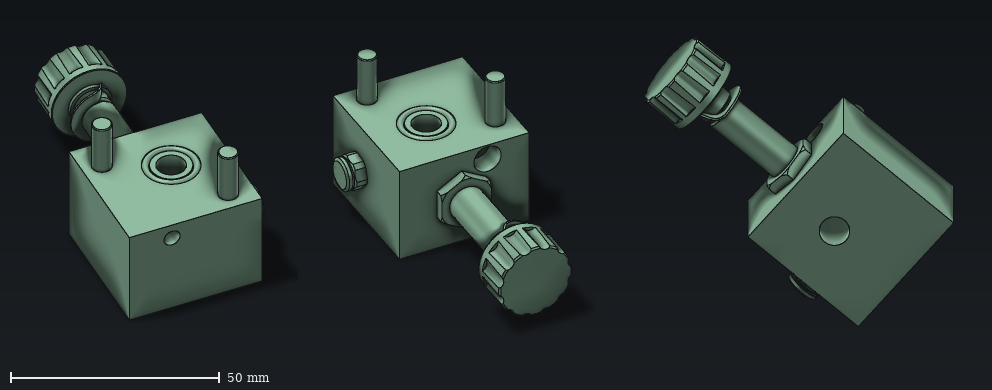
import cadquery as cq
import math

BLOCK_X = 35.0
BLOCK_Y = 35.0
BLOCK_Z = 26.0

PORT_X = 14.7
PORT_Y = 2.75
PORT_DIA = 7.3
GROOVE_OUTER_R = 7.15
GROOVE_INNER_R = 5.2
RING_WIRE_R = 0.88
RING_PROUD = 0.4
RING_CENTRE_R = GROOVE_OUTER_R - RING_WIRE_R
RING_CENTRE_Z = BLOCK_Z + RING_PROUD - RING_WIRE_R
GROOVE_DEPTH = 2 * RING_WIRE_R - RING_PROUD

SCREW_Y = -6.25
SCREW_Z = 21.9
SCREW_DIA = 4.2
SCREW_HEAD_DIA = 7.3
SCREW_HEAD_DEPTH = 6.0

PIN_DIA = 5.0
PIN_LENGTH = 13.2
PIN_CHAMFER = 0.25
PIN_CENTRES = [(8.0, -12.45), (30.0, 10.8)]

VALVE_Y = 0.75
VALVE_Z = BLOCK_Z / 2
HEX_FLATS = 13.3
HEX_LENGTH = 2.7
HEX_CORNER_BREAK = 0.7
STEM_R = 4.6
NECK_R = 3.9
NECK_CENTRE_X = -23.3
NECK_HALF_FLOOR = 0.3
NECK_HALF_MOUTH = 0.8
COLLAR_R = 5.5
COLLAR_LENGTH = 1.0

KNOB_REAR_X = -28.15
KNOB_TIP_X = -39.2
KNOB_R = 10.0
KNOB_CONE_RISE = 0.25
KNOB_FRONT_R = 9.88
KNOB_FRONT_CHAMFER = 0.4
KNOB_REAR_CHAMFER = 0.2
FLUTE_COUNT = 12
FLUTE_R = 1.9
FLUTE_DEPTH = 0.95
FLUTE_LIP_R = 0.6
FLUTE_END_X = -30.3
TAPER_END_X = -29.75

PLATE_THICKNESS = 0.5
PLATE_R = 7.35
PLATE_X = -22.7
PLATE_BEND_START_Y = -2.1
PLATE_BEND_R = 4.2
PLATE_BEND_ANGLE = math.radians(62.5)
PLATE_EDGE_START_X = -23.6
PLATE_EDGE_MIDDLE = (-25.2, 6.95)
PLATE_END_HALF_WIDTH = 5.1

FITTING_X = 21.25
FITTING_Z = BLOCK_Z / 2
FITTING_FLATS = 8.55
FITTING_CORNER_R = 4.55
FITTING_TURN = 10.5
FITTING_HEX_LENGTH = 3.25
FITTING_HEX_CHAMFER = 0.45
FITTING_NECK_R = 3.2
FITTING_RING_START = 3.65
FITTING_LENGTH = 5.2
FITTING_RING_R = 4.28
FITTING_RING_END_R = 3.6
FITTING_RING_TAPER = 0.5
FITTING_RING_CHAMFER = 0.15


def hexagon(across_flats):
    """Corner diameter of a hexagon given across its flats."""
    return across_flats / math.cos(math.pi / 6)


def along_x(x):
    """Plane facing +X at x, centred on the valve axis; local axes are Y and Z."""
    return cq.Workplane("YZ", origin=(x, VALVE_Y, VALVE_Z))


def turn_about_valve_axis(profile):
    """Revolve a closed (x, radius) profile about the valve axis."""
    outline = cq.Workplane("XY", origin=(0, VALVE_Y, VALVE_Z)).polyline(profile).close()
    return outline.revolve(360, (0, 0, 0), (1, 0, 0))


def make_block():
    block = cq.Workplane("XY").box(BLOCK_X, BLOCK_Y, BLOCK_Z, centered=(False, True, False))
    port = cq.Workplane("XY").center(PORT_X, PORT_Y).circle(PORT_DIA / 2).extrude(BLOCK_Z)
    groove = (
        cq.Workplane("XY", origin=(PORT_X, PORT_Y, BLOCK_Z))
        .circle(GROOVE_OUTER_R)
        .circle(GROOVE_INNER_R)
        .extrude(-GROOVE_DEPTH)
    )
    screw_plane = cq.Workplane("YZ", origin=(0, SCREW_Y, SCREW_Z))
    screw_hole = screw_plane.circle(SCREW_DIA / 2).extrude(BLOCK_X)
    screw_head = screw_plane.circle(SCREW_HEAD_DIA / 2).extrude(SCREW_HEAD_DEPTH)
    return block.cut(port).cut(groove).cut(screw_hole).cut(screw_head)


def make_o_ring():
    ring = cq.Solid.makeTorus(RING_CENTRE_R, RING_WIRE_R, cq.Vector(PORT_X, PORT_Y, RING_CENTRE_Z))
    return cq.Workplane(ring)


def make_pin(x, y):
    pin = cq.Workplane("XY", origin=(x, y, BLOCK_Z)).circle(PIN_DIA / 2).extrude(PIN_LENGTH)
    return pin.faces(">Z").chamfer(PIN_CHAMFER)


def make_lock_plate():
    """Round plate, flat across the stem on -Y and bent towards the knob on +Y."""
    def bend_point(radius, angle):
        x = PLATE_X - PLATE_BEND_R + radius * math.cos(angle)
        y = PLATE_BEND_START_Y + radius * math.sin(angle)
        return (x, y)

    def point_at_knob(bend_end):
        run = bend_end[0] - KNOB_REAR_X
        return (KNOB_REAR_X, bend_end[1] + run / math.tan(PLATE_BEND_ANGLE))

    outer_r = PLATE_BEND_R
    inner_r = PLATE_BEND_R - PLATE_THICKNESS
    half_bend = PLATE_BEND_ANGLE / 2
    outer_end = bend_point(outer_r, PLATE_BEND_ANGLE)
    inner_end = bend_point(inner_r, PLATE_BEND_ANGLE)
    strip = (
        cq.Workplane("XY", origin=(0, VALVE_Y, VALVE_Z))
        .moveTo(PLATE_X, -PLATE_R)
        .lineTo(*bend_point(outer_r, 0))
        .threePointArc(bend_point(outer_r, half_bend), outer_end)
        .lineTo(*point_at_knob(outer_end))
        .lineTo(*point_at_knob(inner_end))
        .lineTo(*inner_end)
        .threePointArc(bend_point(inner_r, half_bend), bend_point(inner_r, 0))
        .lineTo(PLATE_X - PLATE_THICKNESS, -PLATE_R)
        .close()
        .extrude(PLATE_R, both=True)
    )
    flat_half = (
        along_x(KNOB_REAR_X)
        .moveTo(0, PLATE_R)
        .threePointArc((-PLATE_R, 0), (0, -PLATE_R))
        .close()
        .extrude(-KNOB_REAR_X)
    )
    edge_x, edge_z = PLATE_EDGE_MIDDLE
    bent_half = (
        cq.Workplane("XZ", origin=(0, VALVE_Y, VALVE_Z))
        .moveTo(0, PLATE_R)
        .lineTo(PLATE_EDGE_START_X, PLATE_R)
        .threePointArc((edge_x, edge_z), (KNOB_REAR_X, PLATE_END_HALF_WIDTH))
        .lineTo(KNOB_REAR_X, -PLATE_END_HALF_WIDTH)
        .threePointArc((edge_x, -edge_z), (PLATE_EDGE_START_X, -PLATE_R))
        .lineTo(0, -PLATE_R)
        .close()
        .extrude(-PLATE_R)
    )
    return strip.intersect(flat_half.union(bent_half))


def make_valve():
    """Hexagon, grooved stem, collar and lock plate in one piece."""
    corner_r = hexagon(HEX_FLATS) / 2
    hexagon_head = along_x(-HEX_LENGTH).transformed(rotate=(0, 0, 90)).polygon(6, 2 * corner_r)
    hexagon_head = hexagon_head.extrude(HEX_LENGTH)
    corner_cone = turn_about_valve_axis([
        (-HEX_LENGTH, 0),
        (-HEX_LENGTH, corner_r - HEX_CORNER_BREAK),
        (-HEX_LENGTH + HEX_CORNER_BREAK, corner_r),
        (0, corner_r),
        (0, 0),
    ])
    stem = turn_about_valve_axis([
        (-HEX_LENGTH, 0),
        (-HEX_LENGTH, STEM_R),
        (NECK_CENTRE_X + NECK_HALF_MOUTH, STEM_R),
        (NECK_CENTRE_X + NECK_HALF_FLOOR, NECK_R),
        (NECK_CENTRE_X - NECK_HALF_FLOOR, NECK_R),
        (NECK_CENTRE_X - NECK_HALF_MOUTH, STEM_R),
        (KNOB_REAR_X + COLLAR_LENGTH, STEM_R),
        (KNOB_REAR_X + COLLAR_LENGTH, COLLAR_R),
        (KNOB_REAR_X, COLLAR_R),
        (KNOB_REAR_X, 0),
    ])
    return hexagon_head.intersect(corner_cone).union(stem).union(make_lock_plate())


def make_knob():
    """Fluted grip with a plain flange at the rear, trimmed by the turned outline."""
    rim_x = KNOB_TIP_X + KNOB_CONE_RISE
    turned_outline = turn_about_valve_axis([
        (KNOB_TIP_X, 0),
        (rim_x, KNOB_FRONT_R - KNOB_FRONT_CHAMFER),
        (rim_x + KNOB_FRONT_CHAMFER, KNOB_FRONT_R),
        (TAPER_END_X, KNOB_R),
        (KNOB_REAR_X - KNOB_REAR_CHAMFER, KNOB_R),
        (KNOB_REAR_X, KNOB_R - KNOB_REAR_CHAMFER),
        (KNOB_REAR_X, 0),
    ])
    grip_length = FLUTE_END_X - KNOB_TIP_X
    flutes = (
        along_x(KNOB_TIP_X)
        .polarArray(KNOB_R - FLUTE_DEPTH + FLUTE_R, 180 / FLUTE_COUNT, 360, FLUTE_COUNT)
        .circle(FLUTE_R)
        .extrude(grip_length)
    )
    grip = along_x(KNOB_TIP_X).circle(KNOB_R).extrude(grip_length).cut(flutes)
    grip = grip.edges("|X").fillet(FLUTE_LIP_R)
    flange = along_x(FLUTE_END_X).circle(KNOB_R).extrude(KNOB_REAR_X - FLUTE_END_X)
    return grip.union(flange).intersect(turned_outline)


def make_fitting():
    """Hexagon with rounded corners, then a neck and a release ring."""
    base = cq.Workplane("XZ", origin=(FITTING_X, BLOCK_Y / 2, FITTING_Z))
    side_hexagon = (
        base.transformed(rotate=(0, 0, FITTING_TURN))
        .polygon(6, hexagon(FITTING_FLATS))
        .extrude(-FITTING_HEX_LENGTH)
    )

    def turned(profile):
        outline = cq.Workplane("XY", origin=(FITTING_X, BLOCK_Y / 2, FITTING_Z)).polyline(profile)
        return outline.close().revolve(360, (0, 0, 0), (0, 1, 0))

    corner_rounding = turned([
        (0, 0),
        (FITTING_CORNER_R, 0),
        (FITTING_CORNER_R, FITTING_HEX_LENGTH - FITTING_HEX_CHAMFER),
        (FITTING_CORNER_R - FITTING_HEX_CHAMFER, FITTING_HEX_LENGTH),
        (0, FITTING_HEX_LENGTH),
    ])
    neck_and_ring = turned([
        (0, 0),
        (FITTING_NECK_R, 0),
        (FITTING_NECK_R, FITTING_RING_START),
        (FITTING_RING_R - FITTING_RING_CHAMFER, FITTING_RING_START),
        (FITTING_RING_R, FITTING_RING_START + FITTING_RING_CHAMFER),
        (FITTING_RING_R, FITTING_LENGTH - FITTING_RING_TAPER),
        (FITTING_RING_END_R, FITTING_LENGTH),
        (0, FITTING_LENGTH),
    ])
    return side_hexagon.intersect(corner_rounding).union(neck_and_ring)


block = make_block()
o_ring = make_o_ring()
pins = [make_pin(x, y) for x, y in PIN_CENTRES]
valve = make_valve()
knob = make_knob()
fitting = make_fitting()

result = cq.Compound.makeCompound([
    block.val(),
    o_ring.val(),
    *[pin.val() for pin in pins],
    valve.val(),
    knob.val(),
    fitting.val(),
])